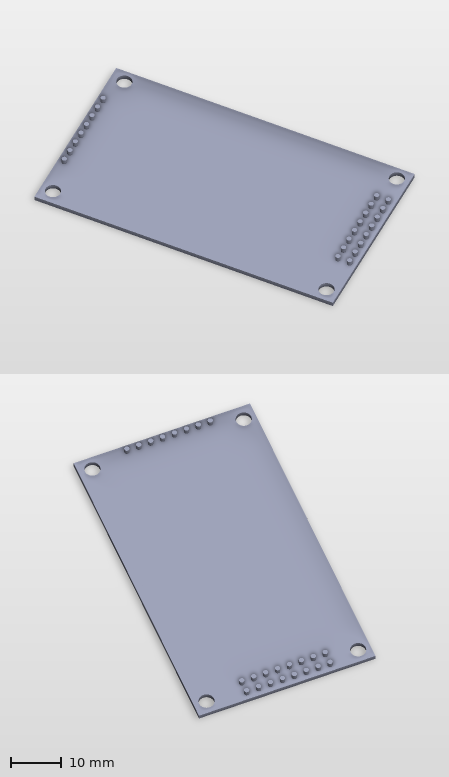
import cadquery as cq

board_length = 65.0
board_width = 37.5
board_thickness = 1.0
total_height = 2.0

hole_diameter = 3.2
hole_centers = [
    (-29.5, 16.2),
    (29.85, 16.2),
    (-29.85, -15.85),
    (29.85, -16.05),
]

pin_diameter = 1.05
pin_height = total_height - board_thickness
pins_per_column = 8
pin_pitch = 2.55
outer_column_x = 31.1
inner_column_x = outer_column_x - pin_pitch
pin_columns_x = [-outer_column_x, inner_column_x, outer_column_x]
column_center_y = 0.85


def make_board():
    """Flat rectangular board with four through holes."""
    board = cq.Workplane("XY").box(
        board_length, board_width, board_thickness, centered=(True, True, False)
    )
    return board.faces(">Z").workplane().pushPoints(hole_centers).hole(hole_diameter)


def pin_centers():
    """Pin positions, each column evenly spaced about column_center_y."""
    first_y = column_center_y - pin_pitch * (pins_per_column - 1) / 2
    return [
        (x, first_y + row * pin_pitch)
        for x in pin_columns_x
        for row in range(pins_per_column)
    ]


def add_pins(board):
    """Raise round pins from the top face of the board."""
    top = board.faces(">Z").workplane(origin=(0, 0, board_thickness))
    return top.pushPoints(pin_centers()).circle(pin_diameter / 2).extrude(pin_height)


result = add_pins(make_board())